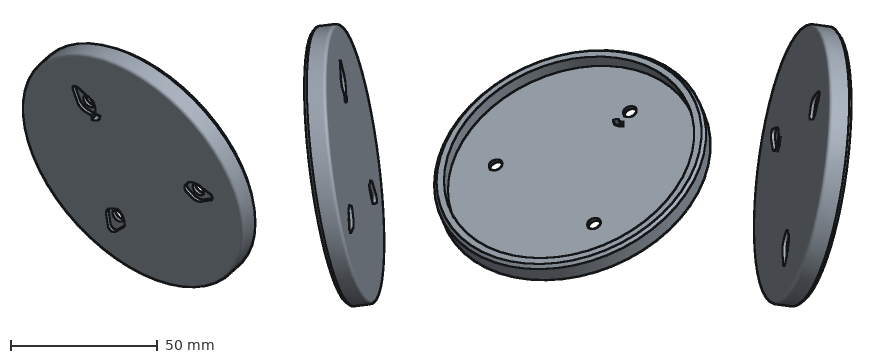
import cadquery as cq
import math

disc_diameter = 96.4
disc_thickness = 8.0
front_rim_radius = 1.2
back_rim_chamfer = 1.3

floor_thickness = 3.0
recess_radius = 44.3

hole_count = 3
first_hole_angle = 15.0
hole_spacing = 360 / hole_count
slotted_hole_angle = first_hole_angle + hole_spacing
hole_circle_radius = 28.4
hole_diameter = 4.7

pocket_depth = 1.4
pocket_middle_radius = 4.05
pocket_tip_radius = 1.7
outer_tip_offset = 5.8
inner_tip_offset = (pocket_middle_radius - pocket_tip_radius) * math.sqrt(2)

slot_outer_radius = 3.7
slot_sweep = 90.0

front_y = -disc_thickness / 2


def front_plane(angle=0.0):
    """Workplane on the front face, its local x pointing radially at the given angle."""
    radians = math.radians(angle)
    x_direction = (math.cos(radians), 0, math.sin(radians))
    return cq.Workplane(cq.Plane((0, front_y, 0), x_direction, (0, -1, 0)))


def polar(center_x, radius, angle):
    """Point on a circle centred on the local x axis."""
    radians = math.radians(angle)
    return (center_x + radius * math.cos(radians), radius * math.sin(radians))


def make_disc():
    disc = front_plane().circle(disc_diameter / 2).extrude(-disc_thickness)
    disc = disc.faces("<Y").edges().fillet(front_rim_radius)
    return disc.faces(">Y").edges().chamfer(back_rim_chamfer)


def make_recess():
    recess_depth = disc_thickness - floor_thickness
    floor = front_plane().workplane(offset=-floor_thickness)
    return floor.circle(recess_radius).extrude(-recess_depth)


def make_hole(angle):
    center = front_plane(angle).center(hole_circle_radius, 0)
    return center.circle(hole_diameter / 2).extrude(-disc_thickness)


def make_pocket(angle):
    """Three circles in a row along the radius, joined by their common tangents."""
    middle_x = hole_circle_radius
    outer_x = middle_x + outer_tip_offset
    inner_x = middle_x - inner_tip_offset
    radius_step = pocket_middle_radius - pocket_tip_radius
    outer_angle = math.degrees(math.acos(radius_step / outer_tip_offset))
    inner_angle = 180 - math.degrees(math.acos(radius_step / inner_tip_offset))

    outline = (
        front_plane(angle)
        .moveTo(*polar(outer_x, pocket_tip_radius, -outer_angle))
        .threePointArc(
            polar(outer_x, pocket_tip_radius, 0),
            polar(outer_x, pocket_tip_radius, outer_angle),
        )
        .lineTo(*polar(middle_x, pocket_middle_radius, outer_angle))
        .threePointArc(
            polar(middle_x, pocket_middle_radius, (outer_angle + inner_angle) / 2),
            polar(middle_x, pocket_middle_radius, inner_angle),
        )
        .lineTo(*polar(inner_x, pocket_tip_radius, inner_angle))
        .threePointArc(
            polar(inner_x, pocket_tip_radius, 180),
            polar(inner_x, pocket_tip_radius, -inner_angle),
        )
        .lineTo(*polar(middle_x, pocket_middle_radius, -inner_angle))
        .threePointArc(
            polar(middle_x, pocket_middle_radius, -(outer_angle + inner_angle) / 2),
            polar(middle_x, pocket_middle_radius, -outer_angle),
        )
        .close()
    )
    return outline.extrude(-pocket_depth)


def make_slot(angle):
    """Quarter ring through the disc, concentric with the pocket's inner tip."""
    center_x = hole_circle_radius - inner_tip_offset
    start_angle = 180 - slot_sweep / 2
    end_angle = 180 + slot_sweep / 2
    outline = (
        front_plane(angle)
        .moveTo(*polar(center_x, pocket_tip_radius, start_angle))
        .lineTo(*polar(center_x, slot_outer_radius, start_angle))
        .threePointArc(
            polar(center_x, slot_outer_radius, 180),
            polar(center_x, slot_outer_radius, end_angle),
        )
        .lineTo(*polar(center_x, pocket_tip_radius, end_angle))
        .threePointArc(
            polar(center_x, pocket_tip_radius, 180),
            polar(center_x, pocket_tip_radius, start_angle),
        )
        .close()
    )
    return outline.extrude(-disc_thickness)


result = make_disc().cut(make_recess())
for index in range(hole_count):
    hole_angle = first_hole_angle + index * hole_spacing
    result = result.cut(make_pocket(hole_angle)).cut(make_hole(hole_angle))
result = result.cut(make_slot(slotted_hole_angle))